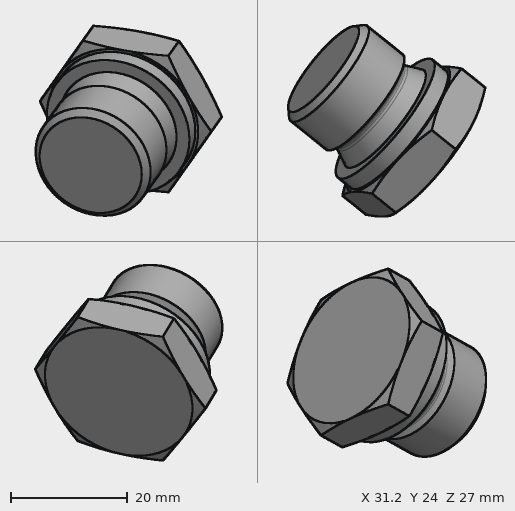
import cadquery as cq
import math

corner_diameter = 31.18
flat_diameter = corner_diameter * math.cos(math.pi / 6)
head_chamfer_angle = 21.0

thread_end = 9.3
collar_face = 14.0
head_face = 17.0
head_back = 24.0

thread_radius = 10.48
tip_radius = 9.3
tip_chamfer_length = 1.22
neck_radius = 9.2
cone_radius = 10.63
collar_radius = 12.97

cone_angle = 24.0
flank_angle = 60.0
cone_fillet = 1.25
flank_fillet = 0.3


def slope(angle):
    """Radial rise per unit of axial length."""
    return math.tan(math.radians(angle))


def revolve_about_y(points):
    """Turn a closed (radius, Y) outline around the Y axis."""
    return cq.Workplane("XY").polyline(points).close().revolve(360, (0, 0, 0), (0, 1, 0))


def make_head():
    """Hexagonal prism with its corners chamfered conically at both ends."""
    corner_radius = corner_diameter / 2
    flat_radius = flat_diameter / 2
    chamfer_length = (corner_radius - flat_radius) * slope(head_chamfer_angle)
    prism = (
        cq.Workplane("XZ", origin=(0, head_face, 0))
        .polygon(6, corner_diameter)
        .extrude(head_face - head_back)
    )
    envelope = revolve_about_y([
        (0, head_face),
        (flat_radius, head_face),
        (corner_radius, head_face + chamfer_length),
        (corner_radius, head_back - chamfer_length),
        (flat_radius, head_back),
        (0, head_back),
    ])
    return prism.intersect(envelope)


def make_shank():
    """Chamfered thread cylinder, filleted relief groove, cone and collar."""
    neck_start = thread_end + (thread_radius - neck_radius) / slope(flank_angle)
    neck_end = collar_face - (cone_radius - neck_radius) / slope(cone_angle)
    shank = revolve_about_y([
        (0, 0),
        (tip_radius, 0),
        (thread_radius, tip_chamfer_length),
        (thread_radius, thread_end),
        (neck_radius, neck_start),
        (neck_radius, neck_end),
        (cone_radius, collar_face),
        (collar_radius, collar_face),
        (collar_radius, head_face),
        (0, head_face),
    ])
    shank = fillet_neck_edge(shank, neck_end, cone_fillet)
    return fillet_neck_edge(shank, neck_start, flank_fillet)


def fillet_neck_edge(body, station, radius):
    """Round the circular edge of the neck at the given Y station."""
    reach = 0.03
    neck_edge = body.edges("%CIRCLE").edges(cq.selectors.BoxSelector(
        (-reach, station - reach, -reach),
        (reach, station + reach, reach),
    ))
    return neck_edge.fillet(radius)


result = make_head().union(make_shank())